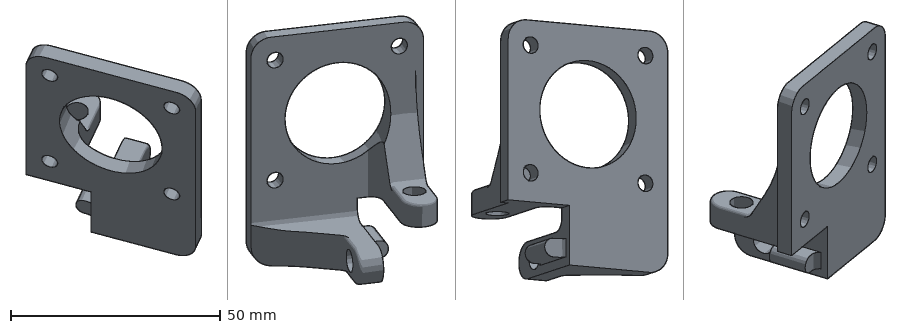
import cadquery as cq
import math

WIDTH = 43.15
HEIGHT = 58.6
DEPTH = 26.0
PLATE = 4.0
CORNER_RADIUS = 5.0
NOTCH_WIDTH = 16.5
NOTCH_HEIGHT = 14.5

BORE_DIAMETER = 26.0
BORE_X = WIDTH / 2
BORE_Z = HEIGHT - WIDTH / 2
SCREW_DIAMETER = 4.0
SCREW_SPACING = 31.0

LUG_WIDTH = 9.0
LUG_RADIUS = LUG_WIDTH / 2
LUG_THICKNESS = 6.15
LUG_EDGE_RADIUS = 1.0
ROOT_RADIUS = 3.0
PIN_DIAMETER = 5.5
PIN_Y = 18.0
UPPER_LUG_X = 6.5
LOWER_LUG_Z = LUG_RADIUS

GUSSET_TOP_Y = 12.85
GUSSET_ANGLE = math.radians(30)
GUSSET_RADIUS = 36.35
GUSSET_FOOT_RADIUS = 1.4

BAR_REACH = 5.0
BAR_WIDTH = 4.5
BAR_FRONT_Y = 3.2
BAR_BACK_Y = 13.25
BAR_FLARE_REACH = 2.0
BAR_FRONT_FLARE = 1.4
BAR_BACK_FLARE = 2.0


def plate_outline(depth):
    """Notched plate, extruded backwards from the front face."""
    body = cq.Workplane("XY").box(WIDTH, depth, HEIGHT, centered=False)
    body = body.edges("|Y").edges(">X or (<X and >Z)").fillet(CORNER_RADIUS)
    notch = cq.Workplane("XY").box(NOTCH_WIDTH, depth, NOTCH_HEIGHT, centered=False)
    return body.cut(notch)


def lug_blank(center, height):
    """Round-ended lug standing on z = 0 and reaching back along Y."""
    left = center - LUG_RADIUS
    right = center + LUG_RADIUS
    return (
        cq.Workplane("XY")
        .moveTo(left, 0)
        .lineTo(right, 0)
        .lineTo(right, DEPTH - LUG_RADIUS)
        .threePointArc((center, DEPTH), (left, DEPTH - LUG_RADIUS))
        .close()
        .extrude(height)
    )


def root_fillet(edge, height):
    """Concave fillet between the plate and the lug side at x = edge."""
    mid = ROOT_RADIUS * (1 - math.sqrt(0.5))
    return (
        cq.Workplane("XY")
        .moveTo(edge, PLATE)
        .lineTo(edge + ROOT_RADIUS, PLATE)
        .threePointArc((edge + mid, PLATE + mid), (edge, PLATE + ROOT_RADIUS))
        .close()
        .extrude(height)
    )


def gusset_envelope():
    """Side profile of a gusset: a slope that blends tangentially into the plate."""
    slope_rise = (GUSSET_TOP_Y - PLATE) / math.tan(GUSSET_ANGLE)
    top = LUG_THICKNESS + slope_rise + GUSSET_RADIUS * math.tan(GUSSET_ANGLE / 2)

    def arc_point(angle):
        y = PLATE + GUSSET_RADIUS * (1 - math.cos(angle))
        return y, top - GUSSET_RADIUS * math.sin(angle)

    foot_y = GUSSET_TOP_Y + LUG_THICKNESS * math.tan(GUSSET_ANGLE)
    return (
        cq.Workplane("YZ")
        .lineTo(foot_y, 0)
        .lineTo(*arc_point(GUSSET_ANGLE))
        .threePointArc(arc_point(GUSSET_ANGLE / 2), (PLATE, top))
        .lineTo(0, top)
        .close()
        .extrude(WIDTH)
    )


def lug_with_gusset(center):
    """Lug with a rounded upper rim, standing on z = 0, with its gusset above it."""
    lug = lug_blank(center, LUG_THICKNESS)
    lug = lug.faces(">Z").edges("not <Y").fillet(LUG_EDGE_RADIUS)
    web = lug_blank(center, HEIGHT).union(root_fillet(center + LUG_RADIUS, HEIGHT))
    pin_hole = cq.Workplane("XY").center(center, PIN_Y).circle(PIN_DIAMETER / 2).extrude(HEIGHT)

    body = lug.union(web.intersect(gusset_envelope()))
    foot_edge = cq.selectors.NearestToPointSelector((center, GUSSET_TOP_Y, LUG_THICKNESS))
    body = body.edges("|X").edges(foot_edge).fillet(GUSSET_FOOT_RADIUS)
    return body.cut(pin_hole)


def lower_lug():
    """The same lug mirrored across x = z, so that its thickness runs along X."""
    lug = lug_with_gusset(LOWER_LUG_Z)
    swapped = lug.rotate((0, 0, 0), (0, 1, 0), 90).mirror("XY")
    return swapped.translate((NOTCH_WIDTH, 0, 0)).intersect(plate_outline(DEPTH))


def front_holes():
    """Bore through everything behind the plate, and screw holes in the plate."""
    front = cq.Workplane("XZ", origin=(BORE_X, 0, BORE_Z))
    bore = front.circle(BORE_DIAMETER / 2).extrude(-DEPTH)
    screws = front.rect(SCREW_SPACING, SCREW_SPACING, forConstruction=True).vertices()
    return bore.union(screws.circle(SCREW_DIAMETER / 2).extrude(-PLATE))


def stop_bar():
    """Bar with a half-round nose, flared at both ends where it meets the lug."""
    root = NOTCH_WIDTH
    tip = root - BAR_REACH
    plan = (
        cq.Workplane("XY")
        .moveTo(tip, BAR_FRONT_Y)
        .lineTo(root - BAR_FLARE_REACH, BAR_FRONT_Y)
        .tangentArcPoint((root, BAR_FRONT_Y - BAR_FRONT_FLARE), relative=False)
        .lineTo(root, BAR_BACK_Y + BAR_BACK_FLARE)
        .radiusArc((root - BAR_FLARE_REACH, BAR_BACK_Y), BAR_BACK_FLARE)
        .lineTo(tip, BAR_BACK_Y)
        .close()
        .extrude(LUG_WIDTH)
    )
    nose_x = tip + BAR_WIDTH / 2
    section = (
        cq.Workplane("XZ")
        .moveTo(root, LOWER_LUG_Z - BAR_WIDTH / 2)
        .lineTo(nose_x, LOWER_LUG_Z - BAR_WIDTH / 2)
        .threePointArc((tip, LOWER_LUG_Z), (nose_x, LOWER_LUG_Z + BAR_WIDTH / 2))
        .lineTo(root, LOWER_LUG_Z + BAR_WIDTH / 2)
        .close()
        .extrude(-DEPTH)
    )
    return plan.intersect(section)


upper_lug = lug_with_gusset(UPPER_LUG_X).translate((0, 0, NOTCH_HEIGHT))

result = plate_outline(PLATE).union(upper_lug).union(lower_lug())
result = result.cut(front_holes()).union(stop_bar())